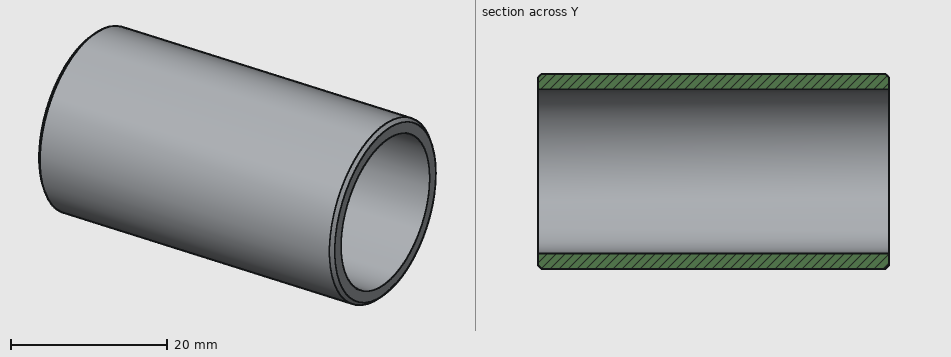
import cadquery as cq

length = 45.0
outer_diameter = 25.0
bore_diameter = 21.0
edge_chamfer = 0.5


def centred_cylinder(diameter):
    """Full-length cylinder along X, centred on the origin."""
    end_plane = cq.Workplane("YZ").workplane(offset=-length / 2)
    return end_plane.circle(diameter / 2).extrude(length)


body = centred_cylinder(outer_diameter).faces("<X or >X").edges().chamfer(edge_chamfer)

result = body.cut(centred_cylinder(bore_diameter))